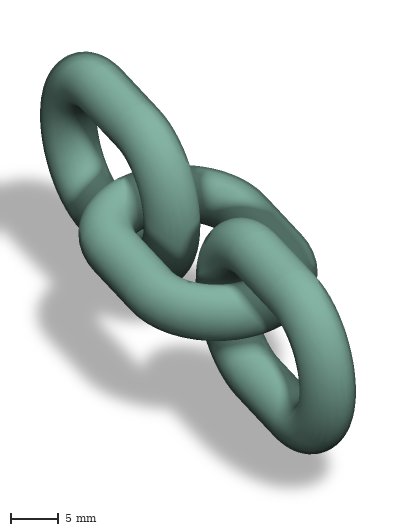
import cadquery as cq

chain_length = 66.0
link_width = 21.5
wire_diameter = 6.0
link_count = 3

joint_overlap = 2 * wire_diameter
link_length = (chain_length + (link_count - 1) * joint_overlap) / link_count
link_pitch = link_length - joint_overlap

bend_radius = (link_width - wire_diameter) / 2
half_straight = (link_length - link_width) / 2
bend_reach = half_straight + bend_radius


def make_link():
    """Oval link of round wire, centred on the origin and lying in the XZ plane."""
    centreline = (
        cq.Workplane("XZ")
        .moveTo(-half_straight, bend_radius)
        .lineTo(half_straight, bend_radius)
        .threePointArc((bend_reach, 0), (half_straight, -bend_radius))
        .lineTo(-half_straight, -bend_radius)
        .threePointArc((-bend_reach, 0), (-half_straight, bend_radius))
        .close()
    )
    wire_section = cq.Workplane("YZ", origin=(-half_straight, 0, bend_radius)).circle(wire_diameter / 2)
    return wire_section.sweep(centreline)


links = []
for index in range(link_count):
    link_x = (index - (link_count - 1) / 2) * link_pitch
    turn = 90 * (index % 2)
    link = make_link().rotate((0, 0, 0), (1, 0, 0), turn).translate((link_x, 0, 0))
    links.append(link.val())

result = cq.Compound.makeCompound(links)